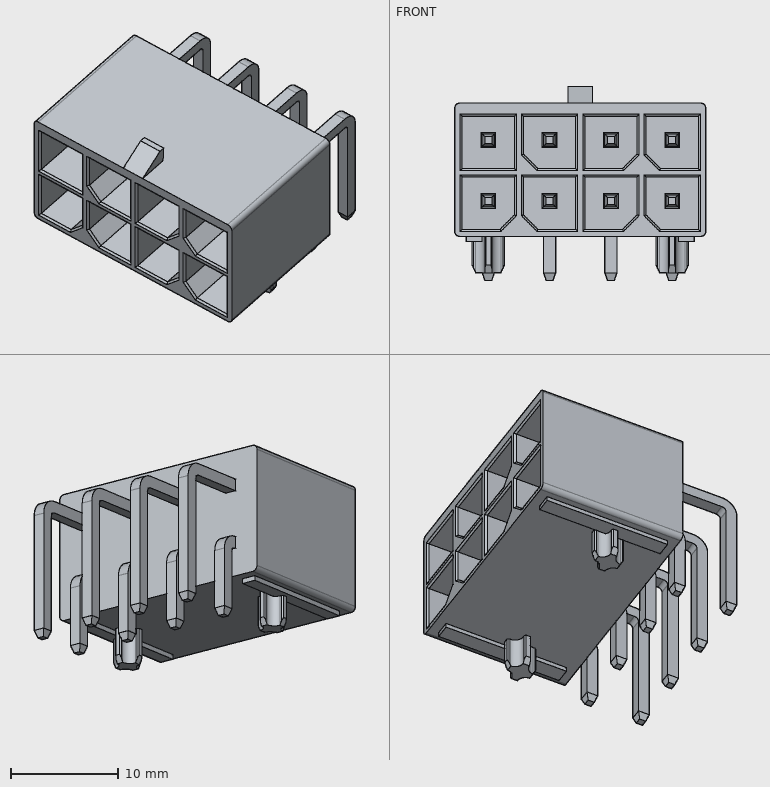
import cadquery as cq
import math


HOUSING_WIDTH = 23.45
HOUSING_DEPTH = 14.85
HOUSING_HEIGHT = 12.48
EDGE_RADIUS = 0.5

COLUMNS = 4
COLUMN_PITCH = 5.72
ROW_PITCH = 5.67
FIRST_PIN_HEIGHT = 3.33

WELL_SIZE = 5.25
WELL_DEPTH = 10.79
FIRST_WELL_FLOOR = 0.5
KEY_SIZE = 1.45
WELL_LEAD_IN = 0.19
LEAD_IN_ANGLE = 45
KEY_SIDES = [
    [1, -1, 1, -1],
    [0, -1, 1, -1],
]

PIN_SIZE = 1.15
PIN_TIP_SIZE = 0.65
PIN_TIP_LENGTH = 0.73
PIN_SETBACK = 3.52
PIN_BOTTOM = -4.1
PIN_REACHES = [1.65, 7.1]
PIN_BEND_RADIUS = 1.6
PIN_LEAD_IN = 0.12

LATCH_WIDTH = 2.3
LATCH_HEIGHT = 1.55
LATCH_RAMP_RUN = 2.63
LATCH_TOP_BACK = 3.2
LATCH_BASE_BACK = 3.1

RAIL_WIDTH = 1.45
RAIL_HEIGHT = 0.47
RAIL_OUTER_X = 10.65
RAIL_FRONT = 1.0
RAIL_BACK = 13.8

PEG_X = (COLUMNS - 1) / 2 * COLUMN_PITCH
PEG_Y = 8.55
PEG_LENGTH = 3.38
PEG_REACH = 1.52
RIB_TIP_HALF = 0.23
RIB_HALF = 0.33
RIB_SHOULDER = 1.35
GROOVE_CENTER = 1.2
PEG_BEVEL = 0.35
PEG_BEVEL_HEIGHT = 0.73


def column_x(column):
    return (column - (COLUMNS - 1) / 2) * COLUMN_PITCH


def pin_height(row):
    return FIRST_PIN_HEIGHT + row * ROW_PITCH


def facing_back(x, y, z):
    """Workplane at a point whose normal is +Y and whose local axes are -X and Z."""
    return cq.Workplane(cq.Plane(origin=(x, y, z), xDir=(-1, 0, 0), normal=(0, 1, 0)))


def well_outline(column, row):
    """Square well outline in the mating face, with its key corner cut off."""
    center_z = FIRST_WELL_FLOOR + WELL_SIZE / 2 + row * ROW_PITCH
    half = WELL_SIZE / 2
    side = -KEY_SIDES[row][column]
    if side == 0:
        corners = [(-half, -half), (half, -half), (half, half), (-half, half)]
    else:
        corners = [
            (-side * half, -half),
            (side * (half - KEY_SIZE), -half),
            (side * half, -half + KEY_SIZE),
            (side * half, half),
            (-side * half, half),
        ]
    return facing_back(column_x(column), 0, center_z).polyline(corners).close()


def well(column, row):
    """Cutter for one well: a straight cavity behind a tapered mouth."""
    mouth = well_outline(column, row).extrude(WELL_LEAD_IN, taper=LEAD_IN_ANGLE)
    cavity = well_outline(column, row).offset2D(-WELL_LEAD_IN).extrude(WELL_DEPTH)
    return cavity.union(mouth)


def pin_funnel(column, row):
    """Cutter for the tapered lead-in around a pin in the end wall of its well."""
    funnel_size = PIN_SIZE + 2 * PIN_LEAD_IN
    plane = facing_back(column_x(column), WELL_DEPTH, pin_height(row))
    return plane.rect(funnel_size, funnel_size).extrude(PIN_LEAD_IN, taper=LEAD_IN_ANGLE)


def pin_tip(plane):
    """Square tip that narrows along the plane's normal."""
    return (
        plane.rect(PIN_SIZE, PIN_SIZE)
        .workplane(offset=PIN_TIP_LENGTH)
        .rect(PIN_TIP_SIZE, PIN_TIP_SIZE)
        .loft(ruled=True)
    )


def pin(column, row):
    """Square pin that runs back out of the housing, bends down and ends below it."""
    x = column_x(column)
    top = pin_height(row) + PIN_SIZE / 2
    back = HOUSING_DEPTH + PIN_REACHES[row]
    front = PIN_SETBACK + PIN_TIP_LENGTH
    bottom = PIN_BOTTOM + PIN_TIP_LENGTH
    inner_radius = PIN_BEND_RADIUS - PIN_SIZE

    body = (
        cq.Workplane("YZ", origin=(x, 0, 0))
        .moveTo(front, top)
        .lineTo(back - PIN_BEND_RADIUS, top)
        .radiusArc((back, top - PIN_BEND_RADIUS), PIN_BEND_RADIUS)
        .lineTo(back, bottom)
        .lineTo(back - PIN_SIZE, bottom)
        .lineTo(back - PIN_SIZE, top - PIN_BEND_RADIUS)
        .radiusArc((back - PIN_BEND_RADIUS, top - PIN_SIZE), -inner_radius)
        .lineTo(front, top - PIN_SIZE)
        .close()
        .extrude(PIN_SIZE / 2, both=True)
    )
    front_tip = pin_tip(cq.Workplane("XZ", origin=(x, front, pin_height(row))))
    leg_end = (x, back - PIN_SIZE / 2, bottom)
    bottom_plane = cq.Plane(origin=leg_end, xDir=(1, 0, 0), normal=(0, 0, -1))
    bottom_tip = pin_tip(cq.Workplane(bottom_plane))
    return body.union(front_tip).union(bottom_tip)


def housing_block():
    return (
        cq.Workplane("XY")
        .box(HOUSING_WIDTH, HOUSING_DEPTH, HOUSING_HEIGHT, centered=(True, False, False))
        .edges("|Y")
        .fillet(EDGE_RADIUS)
    )


def latch():
    """Ramp that rises from the mating face to a slightly undercut catch."""
    top = HOUSING_HEIGHT + LATCH_HEIGHT
    return (
        cq.Workplane("YZ")
        .polyline([
            (0, HOUSING_HEIGHT),
            (LATCH_RAMP_RUN, top),
            (LATCH_TOP_BACK, top),
            (LATCH_BASE_BACK, HOUSING_HEIGHT),
        ])
        .close()
        .extrude(LATCH_WIDTH / 2, both=True)
    )


def rail(side):
    center_x = side * (RAIL_OUTER_X - RAIL_WIDTH / 2)
    return (
        cq.Workplane("XY", origin=(center_x, RAIL_FRONT, -RAIL_HEIGHT))
        .box(RAIL_WIDTH, RAIL_BACK - RAIL_FRONT, RAIL_HEIGHT, centered=(True, False, False))
    )


def peg(side):
    """Four-ribbed peg: concave grooves between bevelled ribs, narrowed at its lower end."""
    size = 2 * PEG_REACH
    plane = cq.Workplane("XY", origin=(side * PEG_X, PEG_Y, -PEG_LENGTH))
    blank = plane.rect(size, size).extrude(PEG_LENGTH)

    groove_radius = GROOVE_CENTER - RIB_HALF
    arc_middle = GROOVE_CENTER - groove_radius * math.sqrt(0.5)
    groove = (
        plane.moveTo(PEG_REACH, RIB_TIP_HALF)
        .lineTo(RIB_SHOULDER, RIB_HALF)
        .lineTo(GROOVE_CENTER, RIB_HALF)
        .threePointArc((arc_middle, arc_middle), (RIB_HALF, GROOVE_CENTER))
        .lineTo(RIB_HALF, RIB_SHOULDER)
        .lineTo(RIB_TIP_HALF, PEG_REACH)
        .lineTo(PEG_REACH, PEG_REACH)
        .close()
        .extrude(PEG_LENGTH)
    )
    axis_start = (side * PEG_X, PEG_Y, 0)
    axis_end = (side * PEG_X, PEG_Y, 1)
    for quarter in range(4):
        blank = blank.cut(groove.rotate(axis_start, axis_end, 90 * quarter))

    end_size = size - 2 * PEG_BEVEL
    narrowed_end = (
        plane.rect(end_size, end_size)
        .workplane(offset=PEG_BEVEL_HEIGHT)
        .rect(size, size)
        .loft(ruled=True)
    )
    upper_length = PEG_LENGTH - PEG_BEVEL_HEIGHT
    upper_part = plane.workplane(offset=PEG_BEVEL_HEIGHT).rect(size, size).extrude(upper_length)
    return blank.intersect(narrowed_end.union(upper_part))


grid = [(column, row) for row in range(len(KEY_SIDES)) for column in range(COLUMNS)]
pins = [pin(column, row) for column, row in grid]

housing = housing_block().union(latch())
for side in (-1, 1):
    housing = housing.union(rail(side)).union(peg(side))
for column, row in grid:
    housing = housing.cut(well(column, row)).cut(pin_funnel(column, row))
for contact in pins:
    housing = housing.cut(contact)

result = cq.Compound.makeCompound([housing.val(), *[contact.val() for contact in pins]])